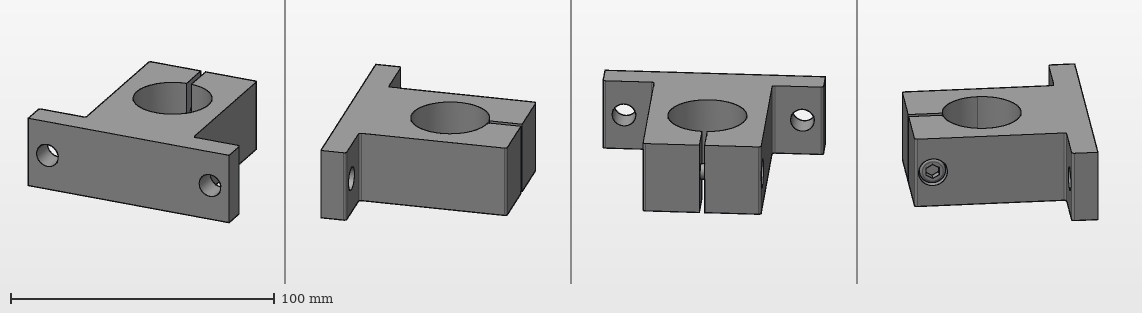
import cadquery as cq
import math

base_length = 84.0
base_thickness = 10.0
width = 28.0
mount_hole_diameter = 9.0
mount_hole_spacing = 68.0

block_length = 45.0
total_height = 68.0
edge_radius = 1.0

bore_diameter = 30.0
bore_height = 40.0
slot_width = 2.0

screw_end_distance = 7.0
screw_height = total_height - screw_end_distance
screw_diameter = 6.0
head_diameter = 10.0
head_length = 6.0
head_edge_radius = 1.0
head_recess = 0.75
hex_across_flats = 5.0
hex_across_corners = hex_across_flats / math.cos(math.radians(30))
hex_depth = 3.0
screw_thread_engagement = 10.0
counterbore_diameter = 11.0

block_side_x = -block_length / 2
head_face_x = block_side_x + head_recess
head_seat_x = head_face_x + head_length
shank_end_x = slot_width / 2 + screw_thread_engagement


def screw_axis_plane(x):
    """Plane across the screw axis at x, facing +X, with its local X along the part's Y."""
    return cq.Workplane("YZ", origin=(x, screw_height, 0))


def make_body():
    """T-shaped bracket with small radii on its corners."""
    flange = cq.Workplane("XY").box(base_length, base_thickness, width, centered=(True, False, True))
    block = cq.Workplane("XY").box(block_length, total_height, width, centered=(True, False, True))
    bracket = flange.union(block)
    rounded_region = cq.selectors.BoxSelector(
        (-base_length, base_thickness / 2, -width),
        (base_length, 2 * total_height, width),
    )
    return bracket.edges("|Z").edges(rounded_region).fillet(edge_radius)


def make_bore_and_slot():
    """Shaft bore and the slot that opens it through the end of the block."""
    bore = cq.Workplane("XY").center(0, bore_height).circle(bore_diameter / 2).extrude(width / 2, both=True)
    slot = (
        cq.Workplane("XY", origin=(0, bore_height, 0))
        .box(slot_width, total_height - bore_height, width, centered=(True, False, True))
    )
    return bore.union(slot)


def make_mount_holes():
    """Pair of through holes in the flange, along Y."""
    return (
        cq.Workplane("XZ")
        .rarray(mount_hole_spacing, 1, 2, 1)
        .circle(mount_hole_diameter / 2)
        .extrude(-base_thickness)
    )


def make_counterbore():
    """Round pocket around the screw head, down to the head seat."""
    depth = head_seat_x - block_side_x
    return screw_axis_plane(block_side_x).circle(counterbore_diameter / 2).extrude(depth)


def make_screw():
    """Socket head screw whose shank crosses the slot and ends inside the far half of the block."""
    head = screw_axis_plane(head_face_x).circle(head_diameter / 2).extrude(head_length)
    head = head.faces("<X").edges().fillet(head_edge_radius)
    socket = (
        screw_axis_plane(head_face_x)
        .transformed(rotate=(0, 0, 90))
        .polygon(6, hex_across_corners)
        .extrude(hex_depth)
    )
    shank = screw_axis_plane(head_seat_x).circle(screw_diameter / 2).extrude(shank_end_x - head_seat_x)
    return head.cut(socket).union(shank)


bracket = make_body()
bracket = bracket.cut(make_bore_and_slot())
bracket = bracket.cut(make_mount_holes())
bracket = bracket.cut(make_counterbore())
result = bracket.union(make_screw())